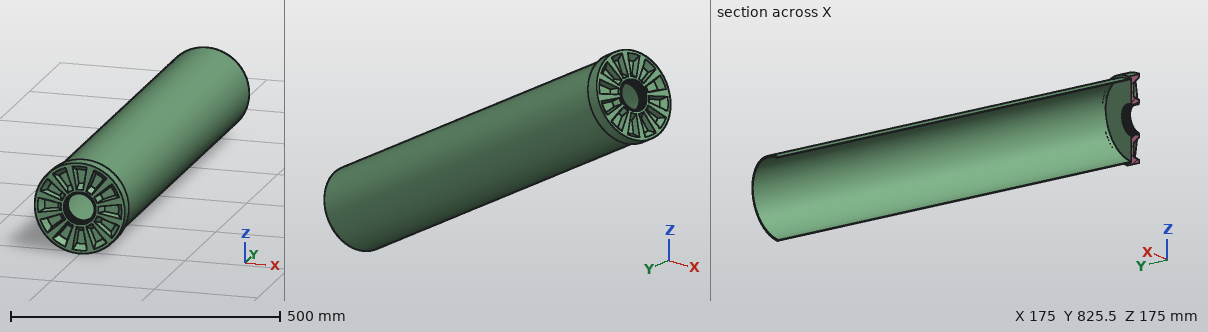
import cadquery as cq
import math

total_length = 825.5
cap_diameter = 175.0
cap_length = 26.5
tube_outer_diameter = 165.0
tube_inner_diameter = 160.0

plate_thickness = 20.0
skirt_length = cap_length - plate_thickness
tube_length = total_length - plate_thickness

bore_diameter = 56.0
groove_diameter = 62.0
groove_count = 9
groove_pitch = plate_thickness / groove_count
groove_flat = groove_pitch / 4

pocket_count = 12
pocket_depth = 12.0
mouth_inner_radius = 36.0
mouth_outer_diameter = 163.0
mouth_outer_radius = mouth_outer_diameter / 2
mouth_inner_width = 12.0
mouth_outer_width = 28.0
floor_inner_radius = 45.0
floor_outer_radius = 72.0
floor_inner_width = 11.0
floor_outer_width = 18.0


def cylinder(diameter, start_y, length):
    """Solid cylinder along +Y that starts at start_y."""
    plane = cq.Workplane("XZ", origin=(0, start_y, 0))
    return plane.circle(diameter / 2).extrude(-length)


def wedge_wire(y, inner_radius, outer_radius, inner_width, outer_width):
    """Closed wedge around the +Z direction, with arcs about the axis at both ends."""
    inner_x = inner_width / 2
    outer_x = outer_width / 2
    inner_z = math.sqrt(inner_radius**2 - inner_x**2)
    outer_z = math.sqrt(outer_radius**2 - outer_x**2)
    outline = (
        cq.Workplane("XZ", origin=(0, y, 0))
        .moveTo(-inner_x, inner_z)
        .threePointArc((0, inner_radius), (inner_x, inner_z))
        .lineTo(outer_x, outer_z)
        .threePointArc((0, outer_radius), (-outer_x, outer_z))
        .close()
    )
    return outline.val()


def make_pocket():
    mouth = wedge_wire(0, mouth_inner_radius, mouth_outer_radius, mouth_inner_width, mouth_outer_width)
    floor = wedge_wire(
        pocket_depth, floor_inner_radius, floor_outer_radius, floor_inner_width, floor_outer_width
    )
    return cq.Workplane(cq.Solid.makeLoft([mouth, floor], True))


def make_grooved_bore():
    """Bore volume whose side steps between the groove and bore radii."""
    bore_radius = bore_diameter / 2
    groove_radius = groove_diameter / 2
    profile = cq.Workplane("XY").lineTo(groove_radius, 0)
    for index in range(groove_count):
        groove_y = index * groove_pitch
        profile = (
            profile.lineTo(groove_radius, groove_y + groove_flat)
            .lineTo(bore_radius, groove_y + 2 * groove_flat)
            .lineTo(bore_radius, groove_y + 3 * groove_flat)
            .lineTo(groove_radius, groove_y + groove_pitch)
        )
    return profile.lineTo(0, plate_thickness).close().revolve(360, (0, 0, 0), (0, 1, 0))


def make_cap():
    cap = cylinder(cap_diameter, 0, cap_length).cut(make_grooved_bore())
    cap = cap.cut(cylinder(tube_outer_diameter, plate_thickness, skirt_length))
    pocket = make_pocket()
    for index in range(pocket_count):
        angle = index * 360 / pocket_count
        cap = cap.cut(pocket.rotate((0, 0, 0), (0, 1, 0), angle))
    return cap


def make_tube():
    bore = cylinder(tube_inner_diameter, plate_thickness, tube_length)
    return cylinder(tube_outer_diameter, plate_thickness, tube_length).cut(bore)


cap = make_cap()
tube = make_tube()
result = cq.Compound.makeCompound([cap.val(), tube.val()])